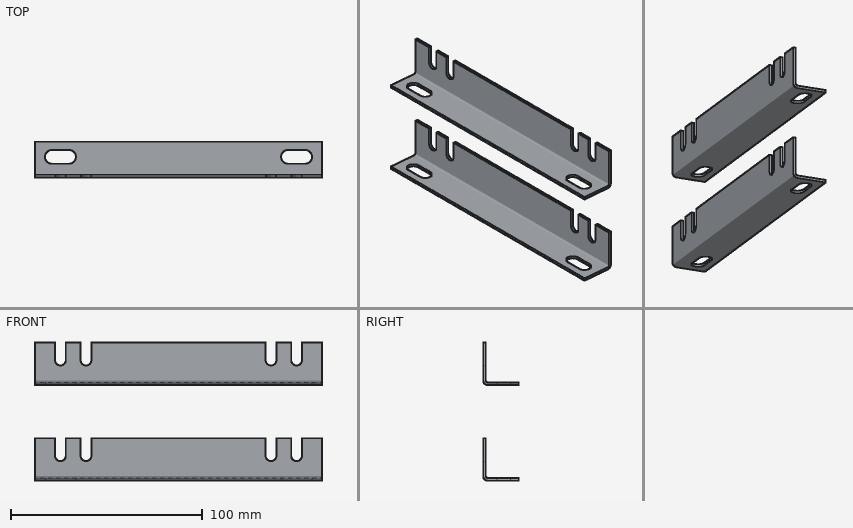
import cadquery as cq

LENGTH = 150.0
DEPTH = 18.8
HEIGHT = 22.4
THICKNESS = 1.5
INNER_BEND_RADIUS = 1.0
OUTER_BEND_RADIUS = INNER_BEND_RADIUS + THICKNESS

TOTAL_HEIGHT = 72.3
BRACKET_COUNT = 2
BRACKET_SPACING = TOTAL_HEIGHT - HEIGHT

NOTCH_WIDTH = 5.5
NOTCH_DEPTH = 12.0
OUTER_NOTCH_X = 61.7
INNER_NOTCH_X = 48.3

SLOT_LENGTH = 16.0
SLOT_WIDTH = 7.0
SLOT_Y = 10.8


def bent_strip():
    """L-shaped strip with its outer corner on the X axis, centred along X."""
    return (
        cq.Workplane("YZ")
        .moveTo(OUTER_BEND_RADIUS, 0)
        .lineTo(DEPTH, 0)
        .lineTo(DEPTH, THICKNESS)
        .lineTo(OUTER_BEND_RADIUS, THICKNESS)
        .radiusArc((THICKNESS, OUTER_BEND_RADIUS), INNER_BEND_RADIUS)
        .lineTo(THICKNESS, HEIGHT)
        .lineTo(0, HEIGHT)
        .lineTo(0, OUTER_BEND_RADIUS)
        .radiusArc((OUTER_BEND_RADIUS, 0), -OUTER_BEND_RADIUS)
        .close()
        .extrude(LENGTH / 2, both=True)
    )


def notch_cutters():
    """Round-bottomed notches through the upright wall, open at its top edge."""
    centers = [
        (side * offset, HEIGHT)
        for side in (-1, 1)
        for offset in (OUTER_NOTCH_X, INNER_NOTCH_X)
    ]
    return (
        cq.Workplane("XZ")
        .pushPoints(centers)
        .slot2D(2 * NOTCH_DEPTH, NOTCH_WIDTH, angle=90)
        .extrude(-THICKNESS)
    )


def slot_cutters():
    """Rounded slots through the bottom flange, one near each end."""
    return (
        cq.Workplane("XY")
        .pushPoints([(-OUTER_NOTCH_X, SLOT_Y), (OUTER_NOTCH_X, SLOT_Y)])
        .slot2D(SLOT_LENGTH, SLOT_WIDTH)
        .extrude(THICKNESS)
    )


def make_bracket(base_z):
    """One complete bracket with its bottom face at base_z."""
    bracket = bent_strip().cut(notch_cutters()).cut(slot_cutters())
    return bracket.translate((0, 0, base_z))


brackets = [make_bracket(index * BRACKET_SPACING) for index in range(BRACKET_COUNT)]

result = cq.Compound.makeCompound([bracket.val() for bracket in brackets])